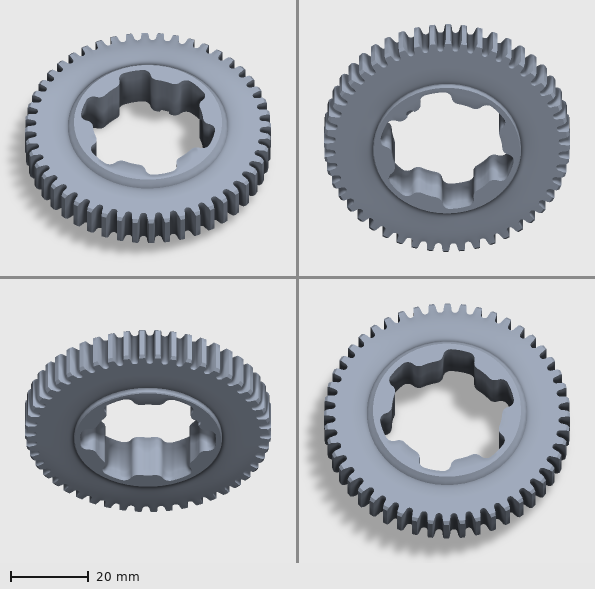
import cadquery as cq
import math

OVERALL_WIDTH = 63.3
OVERALL_HEIGHT = 12.7
HUB_HEIGHT = 1.65
FACE_WIDTH = OVERALL_HEIGHT - 2 * HUB_HEIGHT
TIP_CHAMFER = 0.7

TOOTH_COUNT = 48
ROOT_REACH = 28.75
ROOT_ARC_END_REACH = 29.5
ROOT_ARC_HALF_WIDTH = 0.9
FLANK_START_REACH = 30.2
FLANK_START_HALF_WIDTH = 1.0
CORNER_REACH = OVERALL_WIDTH / 2
GAP_TIP_HALF_WIDTH = 1.45
FLANK_BULGE = 0.03
TIP_RADIUS = math.hypot(CORNER_REACH, GAP_TIP_HALF_WIDTH)

HUB_RADIUS = 19.05
CONE_BASE_RADIUS = 20.65
HUB_CHAMFER = 0.25
HUB_BOTTOM = -OVERALL_HEIGHT / 2

LOBE_COUNT = 6
BORE_RADIUS = 14.25
LOBE_RADIUS = 17.5
LOBE_WIDTH = 8.25
LOBE_FILLET = 2.0

NOTCH_RADIUS = 1.2
NOTCH_HEIGHT = 0.9

CUT_MARGIN = 0.65


def turned_about_axis(shape, angle):
    return shape.rotate((0, 0, 0), (0, 0, 1), angle)


def gear_blank():
    """Plain disc with both rims chamfered."""
    disc = cq.Workplane("XY").circle(TIP_RADIUS).extrude(FACE_WIDTH / 2, both=True)
    return disc.faces("|Z").edges().chamfer(TIP_CHAMFER)


def top_hub():
    """Truncated cone on the upper gear face."""
    return (
        cq.Workplane("XY", origin=(0, 0, FACE_WIDTH / 2))
        .circle(CONE_BASE_RADIUS)
        .workplane(offset=HUB_HEIGHT)
        .circle(HUB_RADIUS)
        .loft()
    )


def bottom_hub():
    """Plain cylinder under the lower gear face, with a small edge chamfer."""
    hub = cq.Workplane("XY", origin=(0, 0, HUB_BOTTOM)).circle(HUB_RADIUS).extrude(HUB_HEIGHT)
    return hub.faces("<Z").edges().chamfer(HUB_CHAMFER)


def tooth_gap():
    """Gap on the +X axis: root arc, short straight sides, then flanks curving open to the tips."""
    flank_middle_reach = (FLANK_START_REACH + CORNER_REACH) / 2
    flank_middle_half_width = (FLANK_START_HALF_WIDTH + GAP_TIP_HALF_WIDTH) / 2 - FLANK_BULGE
    flank_start = (FLANK_START_REACH, FLANK_START_HALF_WIDTH)
    outside = TIP_RADIUS + CUT_MARGIN
    return (
        cq.Workplane("XY", origin=(0, 0, -FACE_WIDTH / 2 - CUT_MARGIN))
        .moveTo(ROOT_ARC_END_REACH, ROOT_ARC_HALF_WIDTH)
        .threePointArc((ROOT_REACH, 0), (ROOT_ARC_END_REACH, -ROOT_ARC_HALF_WIDTH))
        .lineTo(FLANK_START_REACH, -FLANK_START_HALF_WIDTH)
        .threePointArc((flank_middle_reach, -flank_middle_half_width), (CORNER_REACH, -GAP_TIP_HALF_WIDTH))
        .lineTo(outside, -GAP_TIP_HALF_WIDTH)
        .lineTo(outside, GAP_TIP_HALF_WIDTH)
        .lineTo(CORNER_REACH, GAP_TIP_HALF_WIDTH)
        .threePointArc((flank_middle_reach, flank_middle_half_width), flank_start)
        .close()
        .extrude(FACE_WIDTH + 2 * CUT_MARGIN)
    )


def all_tooth_gaps():
    gap = tooth_gap().val()
    pitch_angle = 360 / TOOTH_COUNT
    return cq.Compound.makeCompound(
        [turned_about_axis(gap, index * pitch_angle) for index in range(TOOTH_COUNT)]
    )


def lobed_bore():
    """Round bore widened by six evenly spaced lobes, all corners rounded."""
    plane = cq.Workplane("XY", origin=(0, 0, HUB_BOTTOM - CUT_MARGIN))
    length = OVERALL_HEIGHT + 2 * CUT_MARGIN
    bore = plane.circle(BORE_RADIUS).extrude(length)
    lobe_limit = plane.circle(LOBE_RADIUS).extrude(length)
    bar = plane.rect(2 * (LOBE_RADIUS + CUT_MARGIN), LOBE_WIDTH).extrude(length)
    lobe_pair = bar.intersect(lobe_limit)
    for index in range(LOBE_COUNT // 2):
        bore = bore.union(turned_about_axis(lobe_pair, index * 360 / LOBE_COUNT))
    return bore.edges("|Z").fillet(LOBE_FILLET)


def rim_notch():
    """Upright cylinder centred on the bore wall, reaching a short way up from the lower face."""
    return cq.Workplane("XY", origin=(0, BORE_RADIUS, HUB_BOTTOM)).circle(NOTCH_RADIUS).extrude(NOTCH_HEIGHT)


gear = gear_blank().cut(all_tooth_gaps())
gear = gear.union(top_hub()).union(bottom_hub())
result = gear.cut(lobed_bore()).cut(rim_notch())